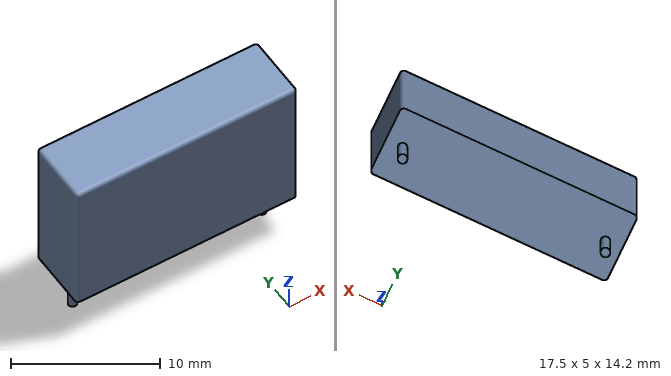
import cadquery as cq

case_length = 17.5
case_width = 5.0
total_height = 14.2
lead_length = 3.2
case_height = total_height - lead_length
edge_radius = 0.3

lead_diameter = 0.66
lead_pitch = 15.0


def make_case():
    """Rectangular case, rounded on every edge except around its flat bottom."""
    block = cq.Workplane("XY").box(
        case_length, case_width, case_height, centered=(True, True, False)
    )
    return block.edges("|Z or >Z").fillet(edge_radius)


def make_lead(x_position):
    """Round wire lead hanging down from the bottom face of the case."""
    return (
        cq.Workplane("XY")
        .center(x_position, 0)
        .circle(lead_diameter / 2)
        .extrude(-lead_length)
    )


case = make_case()
leads = [make_lead(side * lead_pitch / 2) for side in (-1, 1)]

result = cq.Compound.makeCompound([case.val(), *[lead.val() for lead in leads]])